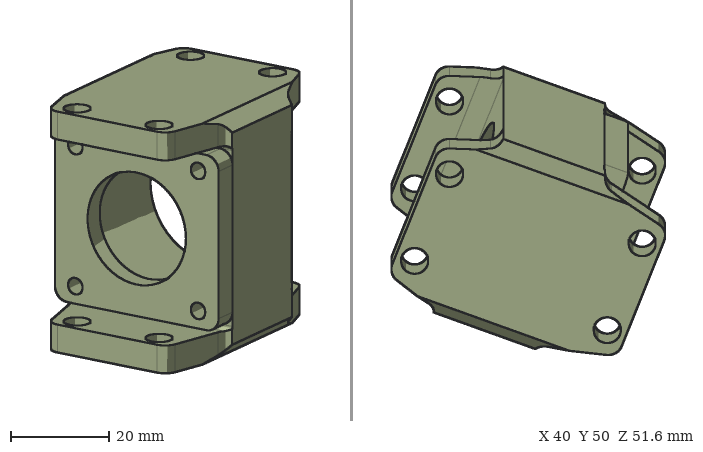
import cadquery as cq

WIDTH = 40.0
LENGTH = 50.0
HEIGHT = 51.6
FLANGE_THICKNESS = 6.0
WEB_FRONT = -9.0
WEB_BACK = 13.0
FLANGE_END_HALF_WIDTH = 14.5
FLANGE_ROOT_HALF_WIDTH = 18.5
OUTLINE_RADIUS = 3.0
CHAMFER = 3.1
FRONT_FILLET = 1.0
BACK_FILLET = 4.0
MOUNT_HOLE_DIAMETER = 5.5
MOUNT_HOLE_SPACING_X = 20.0
MOUNT_HOLE_SPACING_Y = 42.0
TAPER_FRONT_DIAMETER = 33.5
TAPER_BACK_DIAMETER = 29.0
SCREW_HOLE_DIAMETER = 2.8
SCREW_HOLE_DEPTH = 7.75

COVER_FRONT = -14.15
COVER_HEIGHT = 37.5
COVER_CORNER_RADIUS = 3.0
COVER_BORE_DIAMETER = 24.0
COVER_BORE_DEPTH = 4.5
SCREW_SPACING = 30.0
SCREW_CLEARANCE_DIAMETER = 3.5

HALF_LENGTH = LENGTH / 2
HALF_HEIGHT = HEIGHT / 2
FLANGE_INNER = HALF_HEIGHT - FLANGE_THICKNESS
RECESS_FLOOR = COVER_FRONT + COVER_BORE_DEPTH
COVER_THICKNESS = WEB_FRONT - COVER_FRONT
OUTLINE_MARGIN = 5.15


def cylinder_along_y(diameter, start, end):
    """Solid cylinder on the Y axis between two Y positions."""
    plane = cq.Workplane("XZ", origin=(0, start, 0))
    return plane.circle(diameter / 2).extrude(start - end)


def tapered_bore():
    """Cone through the web, narrowing from the front face to the back face."""
    cone = cq.Solid.makeCone(
        TAPER_FRONT_DIAMETER / 2,
        TAPER_BACK_DIAMETER / 2,
        WEB_BACK - WEB_FRONT,
        cq.Vector(0, WEB_FRONT, 0),
        cq.Vector(0, 1, 0),
    )
    return cq.Workplane(obj=cone)


def screw_holes(diameter, start, end):
    """Square pattern of four cylinders along Y at the cover screw positions."""
    plane = cq.Workplane("XZ", origin=(0, start, 0))
    pattern = plane.rarray(SCREW_SPACING, SCREW_SPACING, 2, 2)
    return pattern.circle(diameter / 2).extrude(start - end)


def plan_prism():
    """Full-height prism of the flange outline: tapered tips widening into the web."""
    overshoot = WIDTH / 2 + OUTLINE_MARGIN
    right_side = [
        (FLANGE_END_HALF_WIDTH, -HALF_LENGTH),
        (FLANGE_ROOT_HALF_WIDTH, WEB_FRONT),
        (overshoot, WEB_FRONT),
        (overshoot, WEB_BACK),
        (FLANGE_ROOT_HALF_WIDTH, WEB_BACK),
        (FLANGE_END_HALF_WIDTH, HALF_LENGTH),
    ]
    left_side = [(-x, y) for x, y in reversed(right_side)]
    base = cq.Workplane("XY", origin=(0, 0, -HALF_HEIGHT))
    prism = base.polyline(right_side + left_side).close().extrude(HEIGHT)
    return prism.edges("|Z").fillet(OUTLINE_RADIUS)


def side_block():
    """Chamfered block, recessed front and back to leave a web between the flanges."""
    block = cq.Workplane("XY").box(WIDTH, LENGTH, HEIGHT).edges("|Y").chamfer(CHAMFER)
    for face, end, radius in (
        (WEB_FRONT, -HALF_LENGTH, FRONT_FILLET),
        (WEB_BACK, HALF_LENGTH, BACK_FILLET),
    ):
        recess = (
            cq.Workplane("XY", origin=(0, (face + end) / 2, 0))
            .box(WIDTH, abs(end - face), 2 * FLANGE_INNER)
            .edges("|X and " + ("<Y" if end > face else ">Y"))
            .fillet(radius)
        )
        block = block.cut(recess)
    return block


def make_housing():
    """Web with a flange above and below, a tapered bore and mounting holes."""
    mount_holes = (
        cq.Workplane("XY", origin=(0, 0, -HALF_HEIGHT))
        .rarray(MOUNT_HOLE_SPACING_X, MOUNT_HOLE_SPACING_Y, 2, 2)
        .circle(MOUNT_HOLE_DIAMETER / 2)
        .extrude(HEIGHT)
    )
    cover_screws = screw_holes(SCREW_HOLE_DIAMETER, WEB_FRONT, WEB_FRONT + SCREW_HOLE_DEPTH)
    body = plan_prism().intersect(side_block())
    return body.cut(mount_holes).cut(tapered_bore()).cut(cover_screws)


def make_cover():
    """Rounded plate on the web's front face with a bore, a back recess and four screw clearance holes."""
    return (
        cq.Workplane("XZ", origin=(0, WEB_FRONT, 0))
        .rect(WIDTH, COVER_HEIGHT)
        .extrude(COVER_THICKNESS)
        .edges("|Y")
        .fillet(COVER_CORNER_RADIUS)
        .cut(cylinder_along_y(COVER_BORE_DIAMETER, COVER_FRONT, WEB_FRONT))
        .cut(cylinder_along_y(TAPER_FRONT_DIAMETER, RECESS_FLOOR, WEB_FRONT))
        .cut(screw_holes(SCREW_CLEARANCE_DIAMETER, COVER_FRONT, WEB_FRONT))
    )


housing = make_housing()
cover = make_cover()
result = cq.Compound.makeCompound([housing.val(), cover.val()])